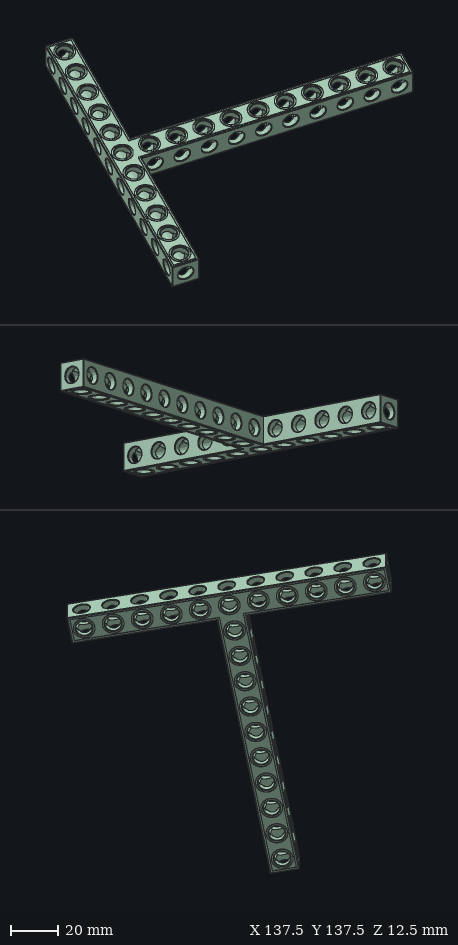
import cadquery as cq

HOLE_COUNT = 11
LENGTH = 137.5
PITCH = LENGTH / HOLE_COUNT
HOLE_DIAMETER = 7.0
RING_DIAMETER = 9.2
EDGE_CHAMFER = 0.3
RECESS_DEPTH = 0.2
RIM_WIDTH = (RING_DIAMETER - HOLE_DIAMETER) / 2

MID_HEIGHT = PITCH / 2
bar_positions = [(i - HOLE_COUNT // 2) * PITCH for i in range(HOLE_COUNT)]
stem_positions = [i * PITCH for i in range(1, HOLE_COUNT)]
vertical_holes = [(x, 0) for x in bar_positions] + [(0, y) for y in stem_positions]


def t_prism(inset, height):
    """T-shaped prism whose outline is pulled in by inset on every side."""
    half_width = PITCH / 2 - inset
    half_length = LENGTH / 2 - inset
    stem_end = LENGTH - PITCH / 2 - inset
    right_side = [
        (half_length, -half_width),
        (half_length, half_width),
        (half_width, half_width),
        (half_width, stem_end),
    ]
    left_side = [(-x, y) for x, y in reversed(right_side)]
    return cq.Workplane("XY").polyline(right_side + left_side).close().extrude(height)


def recess():
    """Shallow T-shaped pocket with a ring left standing around every vertical hole."""
    rings = (
        cq.Workplane("XY")
        .pushPoints(vertical_holes)
        .circle(RING_DIAMETER / 2)
        .extrude(RECESS_DEPTH)
    )
    return t_prism(RIM_WIDTH, RECESS_DEPTH).cut(rings)


def drill(start, direction, depth):
    """Hole cutter from start to depth, with a bevelled mouth at both ends."""
    radius = HOLE_DIAMETER / 2
    shaft = cq.Solid.makeCylinder(radius, depth, start, direction)
    mouth_radius = radius + EDGE_CHAMFER
    near_mouth = cq.Solid.makeCone(mouth_radius, radius, EDGE_CHAMFER, start, direction)
    end = start + direction * depth
    far_mouth = cq.Solid.makeCone(mouth_radius, radius, EDGE_CHAMFER, end, -direction)
    return shaft.fuse(near_mouth, far_mouth)


result = t_prism(0, PITCH)
result = result.edges("|Z").edges("<X or >X or >Y").chamfer(EDGE_CHAMFER)
result = result.faces("<Z or >Z").chamfer(EDGE_CHAMFER)

result = result.cut(recess())
result = result.cut(recess().translate((0, 0, PITCH - RECESS_DEPTH)))

for x, y in vertical_holes:
    result = result.cut(cq.Workplane(drill(cq.Vector(x, y, 0), cq.Vector(0, 0, 1), PITCH)))

for x in bar_positions:
    depth = LENGTH if x == 0 else PITCH
    start = cq.Vector(x, -PITCH / 2, MID_HEIGHT)
    result = result.cut(cq.Workplane(drill(start, cq.Vector(0, 1, 0), depth)))

for y in stem_positions:
    start = cq.Vector(-PITCH / 2, y, MID_HEIGHT)
    result = result.cut(cq.Workplane(drill(start, cq.Vector(1, 0, 0), PITCH)))
bar_bore = drill(cq.Vector(-LENGTH / 2, 0, MID_HEIGHT), cq.Vector(1, 0, 0), LENGTH)
result = result.cut(cq.Workplane(bar_bore))